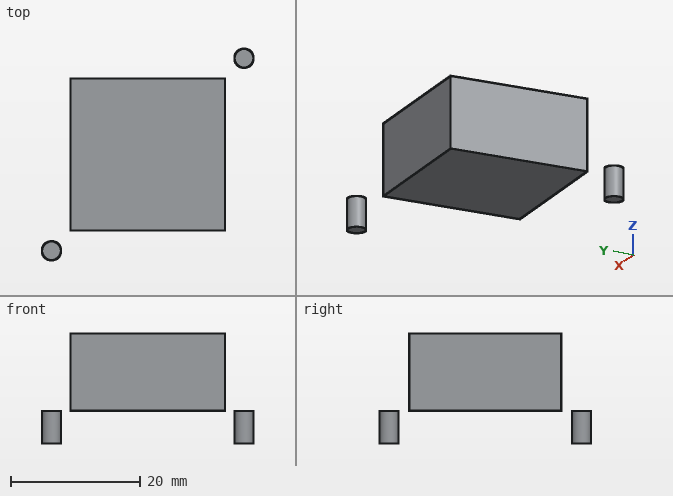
import cadquery as cq

overall_span = 32.83

block_length_x = 23.95
block_width_y = 23.57
block_height = 12.0

pin_diameter = 3.0
pin_height = 5.1
pin_offset = (overall_span - pin_diameter) / 2


def make_block():
    return cq.Workplane("XY").box(
        block_length_x, block_width_y, block_height, centered=(True, True, False)
    )


def make_pin(x, y):
    """Upright pin whose top face lies level with the underside of the block."""
    return cq.Workplane("XY").center(x, y).circle(pin_diameter / 2).extrude(-pin_height)


block = make_block()

pins = []
for side in (-1, 1):
    pins.append(make_pin(side * pin_offset, side * pin_offset))

result = cq.Compound.makeCompound([block.val(), *[pin.val() for pin in pins]])